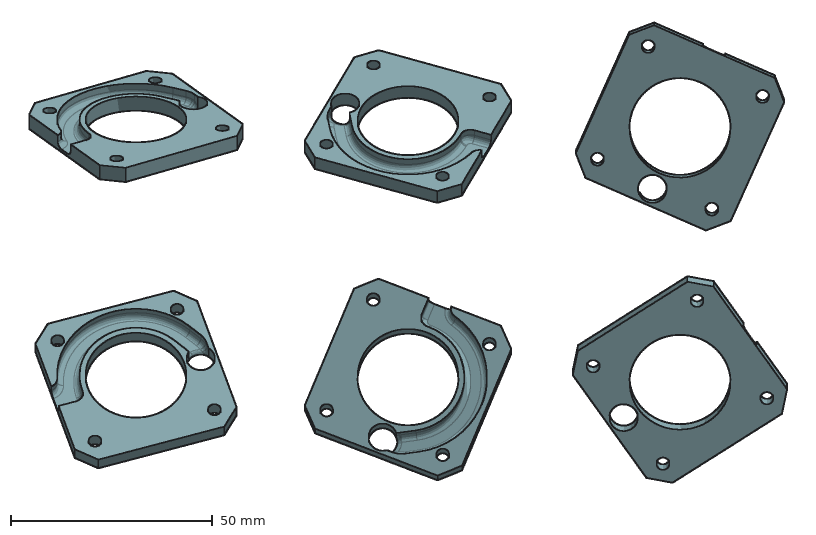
import cadquery as cq
import math

side = 42
thickness = 4.0
corner_chamfer = 4.65
bore_diameter = 25.0
screw_diameter = 3.2
screw_offset = 15.5

port_diameter = 7.0
port_y = 16.8
lip_radius = 1.18

channel_depth = 3.2
floor_fillet = 1.5
outer_radius = 19.57
inner_radius = 14.0
lead_angle = 30
port_end_half_width = 2.5
port_end_y = 17.0
outer_bend_radius = 5.45
inner_bend_radius = 1.9

exit_right_x = 2.95
exit_left_x = -3.02
exit_bend_radius = 2.5
exit_overrun = 2.5

floor_z = thickness - channel_depth
exit_end_y = -side / 2 - exit_overrun


def polar(radius, degrees, center=(0, 0)):
    angle = math.radians(degrees)
    return (center[0] + radius * math.cos(angle), center[1] + radius * math.sin(angle))


def port_bend_center(wall_radius, bend_radius, level_y):
    """Centre of the arc joining the sloped tangent of a channel wall to a level run."""
    slope = math.radians(lead_angle)
    y = level_y - bend_radius
    x = (y * math.cos(slope) - (wall_radius - bend_radius)) / math.sin(slope)
    return (x, y)


def make_plate():
    plate = cq.Workplane("XY").box(side, side, thickness, centered=(True, True, False))
    plate = plate.edges("|Z").chamfer(corner_chamfer)
    bore = cq.Workplane("XY").circle(bore_diameter / 2).extrude(thickness)
    screws = (
        cq.Workplane("XY")
        .rect(2 * screw_offset, 2 * screw_offset, forConstruction=True)
        .vertices()
        .circle(screw_diameter / 2)
        .extrude(thickness)
    )
    return plate.cut(bore).cut(screws)


def channel_prism(bottom_z):
    """Channel plan, raised from bottom_z to the top face."""
    tangent_angle = 90 + lead_angle
    mid_bend_angle = 90 + lead_angle / 2
    outer_y = port_end_y + port_end_half_width
    inner_y = port_end_y - port_end_half_width
    outer_bend = port_bend_center(outer_radius, outer_bend_radius, outer_y)
    inner_bend = port_bend_center(inner_radius, inner_bend_radius, inner_y)

    exit_bend_x = exit_left_x - exit_bend_radius
    exit_bend_y = -math.sqrt((outer_radius + exit_bend_radius) ** 2 - exit_bend_x**2)
    exit_bend = (exit_bend_x, exit_bend_y)
    exit_angle = math.degrees(math.atan2(exit_bend_y, exit_bend_x)) + 180

    right_bend = (exit_right_x - exit_bend_radius, -inner_radius - exit_bend_radius)

    return (
        cq.Workplane("XY", origin=(0, 0, bottom_z))
        .moveTo(exit_left_x, exit_end_y)
        .lineTo(exit_left_x, exit_bend_y)
        .threePointArc(
            polar(exit_bend_radius, exit_angle / 2, exit_bend),
            polar(exit_bend_radius, exit_angle, exit_bend),
        )
        .threePointArc(polar(outer_radius, 180), polar(outer_radius, tangent_angle))
        .lineTo(*polar(outer_bend_radius, tangent_angle, outer_bend))
        .threePointArc(
            polar(outer_bend_radius, mid_bend_angle, outer_bend),
            polar(outer_bend_radius, 90, outer_bend),
        )
        .lineTo(0, outer_y)
        .lineTo(0, inner_y)
        .lineTo(*polar(inner_bend_radius, 90, inner_bend))
        .threePointArc(
            polar(inner_bend_radius, mid_bend_angle, inner_bend),
            polar(inner_bend_radius, tangent_angle, inner_bend),
        )
        .lineTo(*polar(inner_radius, tangent_angle))
        .threePointArc(polar(inner_radius, 180), polar(inner_radius, 270))
        .lineTo(*polar(exit_bend_radius, 90, right_bend))
        .threePointArc(
            polar(exit_bend_radius, 45, right_bend),
            polar(exit_bend_radius, 0, right_bend),
        )
        .lineTo(exit_right_x, exit_end_y)
        .close()
        .extrude(thickness - bottom_z)
    )


def port_lip():
    """Volume removed where the channel floor rolls over into the port."""
    port_radius = port_diameter / 2
    start_radius = port_radius + lip_radius
    arc_bottom = floor_z - lip_radius
    mid_point = polar(lip_radius, 135, (start_radius, arc_bottom))
    return (
        cq.Workplane("XZ", origin=(0, port_y, 0))
        .moveTo(0, floor_z)
        .lineTo(start_radius, floor_z)
        .threePointArc(mid_point, (port_radius, arc_bottom))
        .lineTo(0, arc_bottom)
        .close()
        .revolve(360, (0, 0, 0), (0, 1, 0))
    )


def is_floor_corner(edge):
    """True for the edges where the channel floor or its lip meets a side wall."""
    box = edge.BoundingBox()
    tolerance = 0.05
    lip_bottom = floor_z - lip_radius
    on_floor_or_lip = lip_bottom + tolerance < box.zmax < floor_z + tolerance
    on_exit_end = box.ymax < exit_end_y + tolerance
    lip_start_x = -port_diameter / 2 - lip_radius
    across_port_end = abs(box.xmin - lip_start_x) < tolerance and box.ymin > 0
    return on_floor_or_lip and not on_exit_end and not across_port_end


def make_channel():
    lip = port_lip().intersect(channel_prism(floor_z - lip_radius))
    channel = channel_prism(floor_z).union(lip)
    corners = [edge for edge in channel.edges().vals() if is_floor_corner(edge)]
    return channel.newObject(corners).fillet(floor_fillet)


port = cq.Workplane("XY").center(0, port_y).circle(port_diameter / 2).extrude(thickness)
result = make_plate().cut(make_channel()).cut(port)